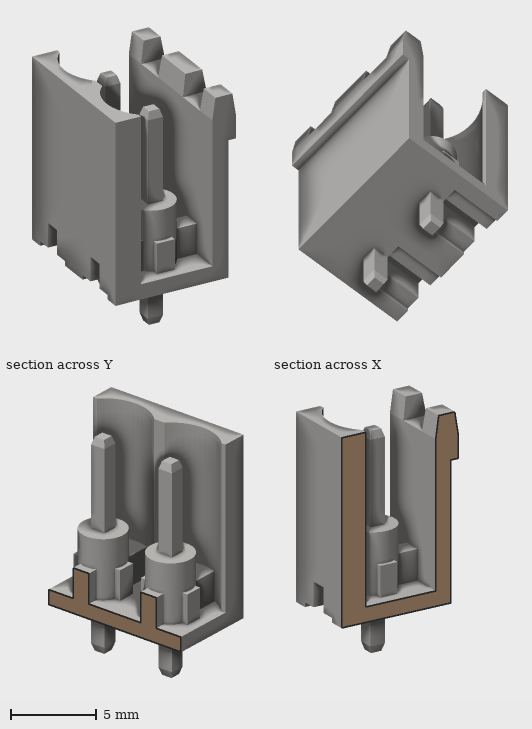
import cadquery as cq

width = 10.0
height = 12.0
front_wall = 1.7
rear_inner_y = 6.51
rear_outer_y = 7.6
floor_thickness = 1.0

lip_outer_y = 8.1
lip_bottom_z = 9.0
taper_start_z = 10.56
lip_top_inner_y = 6.72
lip_top_outer_y = 7.86

notch_floor_width = 2.02
notch_pitch = 5.0
notch_top_width = 2.2

pitch = 5.08
pin_y = 3.78
pin_size = 1.0
pin_bottom_z = -3.0
pin_length = 14.0
tip_length = 0.5
tip_size = 0.7

boss_diameter = 3.0
boss_top_z = 5.0
rib_top_z = 3.0
narrow_rib_width = 1.2
front_rib_width = 2.04
side_rib_span = 3.51

scallop_radius = 3.0
slot_width = 1.1
slot_top_z = 1.92
recess_width = 3.0
recess_height = 0.3

pin_front_y = pin_y - pin_size / 2
pin_xs = [-pitch / 2, pitch / 2]
notch_xs = [-notch_pitch / 2, notch_pitch / 2]


def block(x_center, x_size, y_start, y_end, z_start, z_end):
    """Box centred on x_center that spans the given Y and Z limits."""
    corner = (x_center - x_size / 2, y_start, z_start)
    return cq.Workplane("XY", origin=corner).box(
        x_size, y_end - y_start, z_end - z_start, centered=False
    )


def upright_cylinder(x, radius, z_start, z_end):
    """Vertical cylinder on the axis of the pin at x."""
    return cq.Workplane("XY", origin=(x, pin_y, z_start)).circle(radius).extrude(z_end - z_start)


def make_trough():
    """U-shaped section with the latch lip, extruded across the width."""
    section = [
        (0, 0),
        (rear_outer_y, 0),
        (rear_outer_y, lip_bottom_z),
        (lip_outer_y, lip_bottom_z),
        (lip_outer_y, taper_start_z),
        (lip_top_outer_y, height),
        (lip_top_inner_y, height),
        (rear_inner_y, taper_start_z),
        (rear_inner_y, floor_thickness),
        (front_wall, floor_thickness),
        (front_wall, height),
        (0, height),
    ]
    return cq.Workplane("YZ", origin=(-width / 2, 0, 0)).polyline(section).close().extrude(width)


def make_notch(x):
    """Notch through the latch lip, down to where the tapers start and wider at the top."""
    outline = [
        (x - notch_floor_width / 2, taper_start_z),
        (x + notch_floor_width / 2, taper_start_z),
        (x + notch_top_width / 2, height),
        (x - notch_top_width / 2, height),
    ]
    lip_depth = lip_outer_y - rear_inner_y
    return cq.Workplane("XZ", origin=(0, lip_outer_y, 0)).polyline(outline).close().extrude(lip_depth)


def make_scallop(x):
    """Round relief in the inner face of the front wall, down to the trough floor."""
    cylinder = upright_cylinder(x, scallop_radius, floor_thickness, height)
    return cylinder.intersect(block(x, 2 * scallop_radius, 0, front_wall, floor_thickness, height))


def make_pin_support(x):
    """Round boss with a rear rib, a front rib and two side ribs."""
    boss = upright_cylinder(x, boss_diameter / 2, floor_thickness, boss_top_z)
    rear_rib = block(x, narrow_rib_width, pin_y, rear_inner_y, floor_thickness, rib_top_z)
    front_rib = block(x, front_rib_width, pin_y - scallop_radius, pin_y, floor_thickness, rib_top_z)
    side_ribs = block(
        x,
        side_rib_span,
        pin_y - narrow_rib_width / 2,
        pin_y + narrow_rib_width / 2,
        floor_thickness,
        rib_top_z,
    )
    return boss.union(rear_rib).union(front_rib).union(side_ribs)


def make_pin_cutout(x):
    """Slot and shallow foot recess, open to the front and underside, ending at the pin's front face."""
    slot = block(x, slot_width, 0, pin_front_y, 0, slot_top_z)
    recess = block(x, recess_width, 0, pin_front_y, 0, recess_height)
    return slot.union(recess)


def make_pin(x):
    """Square pin with a tapered tip at each end."""
    bottom_shoulder_z = pin_bottom_z + tip_length
    top_shoulder_z = pin_bottom_z + pin_length - tip_length
    shank = cq.Workplane("XY", origin=(x, pin_y, bottom_shoulder_z)).rect(pin_size, pin_size)
    pin = shank.extrude(top_shoulder_z - bottom_shoulder_z)
    for shoulder_z, direction in [(top_shoulder_z, 1), (bottom_shoulder_z, -1)]:
        tip = (
            cq.Workplane("XY", origin=(x, pin_y, shoulder_z))
            .rect(pin_size, pin_size)
            .workplane(offset=direction * tip_length)
            .rect(tip_size, tip_size)
            .loft()
        )
        pin = pin.union(tip)
    return pin


def make_housing(pins):
    """Trough with a support, cutouts and a matching hole at each pin, and latch tabs along the rear."""
    housing = make_trough()
    for x in notch_xs:
        housing = housing.cut(make_notch(x))
    for x in pin_xs:
        housing = housing.cut(make_scallop(x))
        housing = housing.union(make_pin_support(x)).cut(make_pin_cutout(x))
    for pin in pins:
        housing = housing.cut(pin)
    return housing


pins = [make_pin(x) for x in pin_xs]
housing = make_housing(pins)

result = cq.Compound.makeCompound([housing.val(), *[pin.val() for pin in pins]])